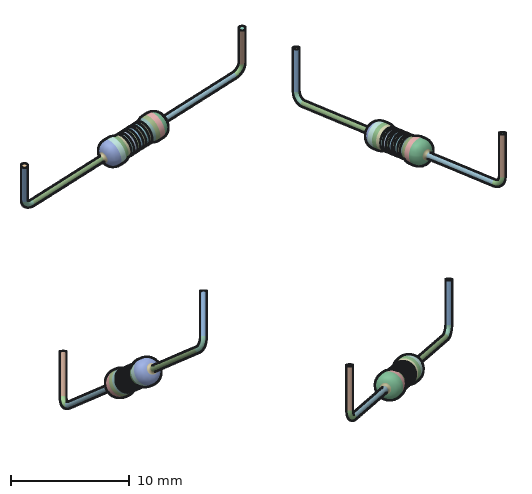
import cadquery as cq
import math

overall_length = 25.6
overall_height = 6.1
body_diameter = 2.5

lead_diameter = 0.6
bend_radius = 0.9

barrel_diameter = 2.12
body_half_length = 3.64
dome_start = 2.5
dome_radius = 0.9
shoulder_start = 1.97

band_diameter = 2.15
band_width = 0.3
band_pitch = 0.7
band_count = 4

lead_radius = lead_diameter / 2
body_radius = body_diameter / 2
barrel_radius = barrel_diameter / 2
lead_half_span = overall_length / 2 - lead_radius
lead_top = overall_height - body_radius

dome_centre_radius = body_radius - dome_radius
neck_run = body_half_length - dome_start
centre_offset = lead_radius - dome_centre_radius
neck_radius = (neck_run**2 + centre_offset**2 - dome_radius**2) / (2 * (dome_radius - centre_offset))
neck_angle = math.atan2(centre_offset + neck_radius, neck_run)

shoulder_end = (band_pitch * (band_count - 1) + band_width) / 2
barrel_half_length = shoulder_end - band_width / 2
shoulder_half_run = (shoulder_start - shoulder_end) / 2
shoulder_half_drop = (body_radius - barrel_radius) / 2
shoulder_middle = shoulder_end + shoulder_half_run
shoulder_middle_radius = barrel_radius + shoulder_half_drop


def dome_point(angle):
    """Return (radius, y) on the dome arc, with the angle measured from the body axis."""
    return (
        dome_centre_radius + dome_radius * math.sin(angle),
        dome_start + dome_radius * math.cos(angle),
    )


def make_end_cap():
    """Revolve the +Y end cap, with its shoulder and neck, about Y."""
    dome_middle = dome_point((neck_angle + math.pi / 2) / 2)
    profile = (
        cq.Workplane("XY")
        .moveTo(0, barrel_half_length)
        .lineTo(barrel_radius, barrel_half_length)
        .lineTo(barrel_radius, shoulder_end)
        .tangentArcPoint((shoulder_middle_radius, shoulder_middle), relative=False)
        .tangentArcPoint((body_radius, shoulder_start), relative=False)
        .lineTo(body_radius, dome_start)
        .threePointArc(dome_middle, dome_point(neck_angle))
        .tangentArcPoint((lead_radius, body_half_length), relative=False)
        .lineTo(0, body_half_length)
        .close()
    )
    return profile.revolve(360, (0, 0, 0), (0, 1, 0))


def make_disc(diameter, width, y_centre):
    """Make a cylinder on the body axis, centred at y_centre."""
    return (
        cq.Workplane("XZ", origin=(0, y_centre + width / 2, 0))
        .circle(diameter / 2)
        .extrude(width)
    )


def make_lead():
    """Sweep the +Y lead from inside the body, round its bend and up."""
    path = (
        cq.Workplane("YZ")
        .moveTo(dome_start, 0)
        .lineTo(lead_half_span - bend_radius, 0)
        .tangentArcPoint((lead_half_span, bend_radius), relative=False)
        .lineTo(lead_half_span, lead_top)
    )
    return cq.Workplane("XZ", origin=(0, dome_start, 0)).circle(lead_radius).sweep(path)


barrel = make_disc(barrel_diameter, 2 * barrel_half_length, 0)
end_cap = make_end_cap()
result = barrel.union(end_cap).union(end_cap.mirror("XZ"))

for index in range(band_count):
    band_centre = (index - (band_count - 1) / 2) * band_pitch
    result = result.union(make_disc(band_diameter, band_width, band_centre))

lead = make_lead()
result = result.union(lead).union(lead.mirror("XZ"))